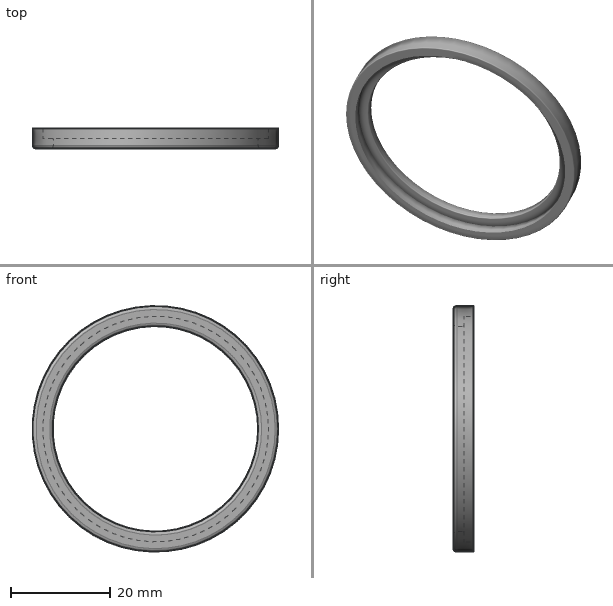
import cadquery as cq

outer_diameter = 49.65
bore_diameter = 41.4
ring_depth = 4.1
lip_depth = 2.1
rim_thickness = (outer_diameter - bore_diameter) / 4
front_fillet = 0.7
back_fillet = 0.2

outer_radius = outer_diameter / 2
bore_radius = bore_diameter / 2
recess_radius = outer_radius - rim_thickness
front_y = -ring_depth / 2
back_y = ring_depth / 2
lip_back_y = front_y + lip_depth


def cylinder(radius, start_y, end_y):
    """Solid cylinder about the Y axis between two stations."""
    return cq.Workplane("XZ", origin=(0, end_y, 0)).circle(radius).extrude(end_y - start_y)


body = cylinder(outer_radius, front_y, back_y)
body = body.faces(">Y").edges().fillet(back_fillet)

recess = cylinder(recess_radius, lip_back_y, back_y)
bore = cylinder(bore_radius, front_y, lip_back_y)
ring = body.cut(recess.union(bore))

ring = ring.faces("<Y").edges().fillet(front_fillet)
lip_back_edge = cq.selectors.RadiusNthSelector(0)
lip_back_face = ring.faces("|Y").faces(">Y[-2]")
result = lip_back_face.edges(lip_back_edge).fillet(back_fillet)